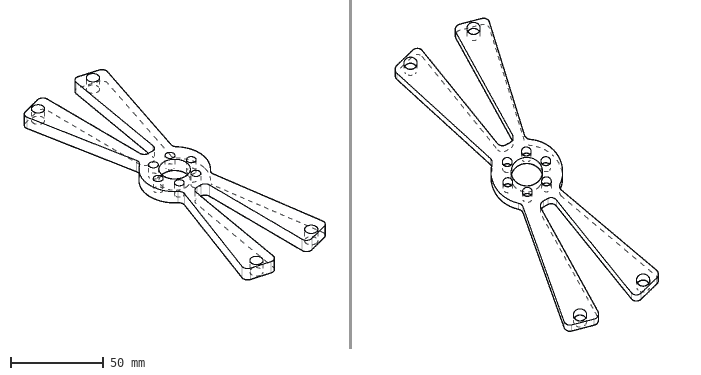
import cadquery as cq

thickness = 8.0
hub_radius = 19.5
bore_diameter = 17.0
bolt_hole_diameter = 5.3
bolt_circle_radius = 12.0
bolt_count = 6

arm_root_x = 9.5
upper_root_y = 11.0
lower_root_y = 7.5
tip_outer_x = 89.9
tip_outer_y = 30.1
tip_inner_x = 95.2
tip_inner_y = 11.0
slot_end_x = 19.6
slot_end_half_width = 4.5
corner_radius = 3.4

tip_hole_diameter = 7.2
tip_hole_x = 88.0
tip_hole_y = 20.0


def arm_pair(side):
    """Upper and lower arm on one side (+1 or -1 along X), joined at the root."""
    outline = [
        (arm_root_x, upper_root_y),
        (tip_outer_x, tip_outer_y),
        (tip_inner_x, tip_inner_y),
        (slot_end_x, slot_end_half_width),
        (slot_end_x, -slot_end_half_width),
        (tip_inner_x, -tip_inner_y),
        (tip_outer_x, -tip_outer_y),
        (arm_root_x, -lower_root_y),
    ]
    points = [(side * x, y) for x, y in outline]
    return cq.Workplane("XY").polyline(points).close().extrude(thickness)


def through_holes(workplane, diameter):
    """Cylinders through the plate at the points of the workplane."""
    return workplane.circle(diameter / 2).extrude(thickness)


hub = cq.Workplane("XY").circle(hub_radius).extrude(thickness)
body = hub.union(arm_pair(1)).union(arm_pair(-1))
body = body.edges("|Z").fillet(corner_radius)

bore = through_holes(cq.Workplane("XY"), bore_diameter)
bolt_points = cq.Workplane("XY").polarArray(bolt_circle_radius, 90, 360, bolt_count)
bolt_holes = through_holes(bolt_points, bolt_hole_diameter)
tip_points = cq.Workplane("XY").rect(2 * tip_hole_x, 2 * tip_hole_y, forConstruction=True).vertices()
tip_holes = through_holes(tip_points, tip_hole_diameter)

result = body.cut(bore).cut(bolt_holes).cut(tip_holes)